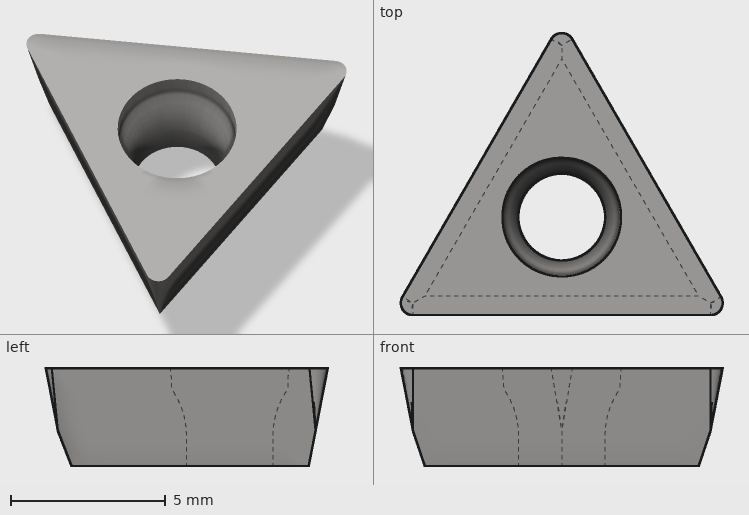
import cadquery as cq
import math

inscribed_diameter = 6.35
thickness = 3.175
nose_radius = 0.397
clearance_angle = 11.0
corner_count = 3
first_corner_angle = 90.0

bore_diameter = 2.8
mouth_diameter = 3.845
mouth_angle = 4.0
mouth_fillet = 0.3
seat_radius = 2.6
seat_end_depth = 2.18

clearance_slope = math.tan(math.radians(clearance_angle))

nose_depth = nose_radius / clearance_slope
nose_end_height = thickness - nose_depth


def sharp_triangle():
    """Sharp-cornered section at the level where the conical noses end."""
    corner_distance = inscribed_diameter - 2 * nose_radius
    corners = []
    for i in range(corner_count):
        direction = math.radians(first_corner_angle + i * 360 / corner_count)
        corners.append((corner_distance * math.cos(direction), corner_distance * math.sin(direction)))
    return cq.Workplane("XY").workplane(offset=nose_end_height).polyline(corners).close()


def insert_body():
    """Flanks lean in toward the bottom: rounded noses above, sharp corners below."""
    upper = sharp_triangle().extrude(nose_depth, taper=-clearance_angle)
    lower = sharp_triangle().extrude(-nose_end_height, taper=clearance_angle)
    return upper.union(lower)


def point_at(center, radius, lean, side):
    """Half-section point on a circle, lean radians from horizontal.

    Side -1 is toward the axis and above the center, +1 away from it and below.
    """
    return (
        center[0] + side * radius * math.cos(lean),
        center[1] - side * radius * math.sin(lean),
    )


def screw_hole():
    """Revolved cutter: tapered mouth, concave fillet, convex seat and bore."""
    bore_radius = bore_diameter / 2
    mouth_radius = mouth_diameter / 2
    wall_lean = math.radians(mouth_angle)
    seat_center = (bore_radius + seat_radius, thickness - seat_end_depth)

    wall_radius_at_seat_end = mouth_radius - seat_end_depth * math.tan(wall_lean)
    wall_to_center = (seat_center[0] - wall_radius_at_seat_end) * math.cos(wall_lean)
    center_distance = seat_radius + mouth_fillet
    seat_lean = wall_lean + math.acos((wall_to_center + mouth_fillet) / center_distance)
    fillet_center = point_at(seat_center, center_distance, seat_lean, -1)

    seat_mid = point_at(seat_center, seat_radius, seat_lean / 2, -1)
    seat_start = point_at(seat_center, seat_radius, seat_lean, -1)
    fillet_mid = point_at(fillet_center, mouth_fillet, (wall_lean + seat_lean) / 2, 1)
    wall_foot = point_at(fillet_center, mouth_fillet, wall_lean, 1)

    return (
        cq.Workplane("XZ")
        .moveTo(0, 0)
        .lineTo(bore_radius, 0)
        .lineTo(bore_radius, seat_center[1])
        .threePointArc(seat_mid, seat_start)
        .threePointArc(fillet_mid, wall_foot)
        .lineTo(mouth_radius, thickness)
        .lineTo(0, thickness)
        .close()
        .revolve(360, (0, 0), (0, 1))
    )


result = insert_body().cut(screw_hole()).clean()